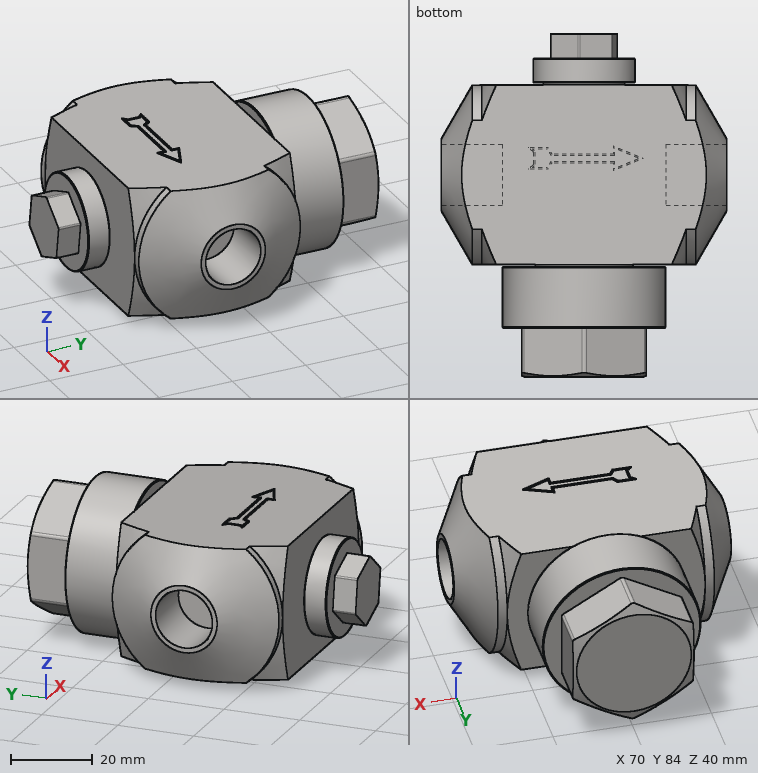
import cadquery as cq
import math

body_length = 70.0
body_width = 44.0
body_height = 35.0
port_face_diameter = 17.5
port_cone_angle = 30.0
shoulder_diameter = 44.0
shoulder_inner_x = 25.0
back_cone_angle = 30.0
port_bore_diameter = 15.0
port_bore_depth = 15.0
profile_margin = 1.0

hex_half_angle = 30.0

neck_gap = 0.5
edge_chamfer = 0.25

cap_neck_diameter = 24.0
cap_diameter = 40.0
cap_thickness = 15.0
cap_hex_flats = 30.5
cap_hex_height = 12.0
cap_hex_corner_radius = 1.0
cap_hex_face_diameter = 29.0
cap_hex_chamfer_angle = 20.0

plug_neck_diameter = 20.0
plug_diameter = 25.0
plug_thickness = 6.0
plug_hex_flats = 15.3
plug_hex_height = 6.0
plug_hex_corner_radius = 0.5
plug_hex_turn = 8.5

arrow_y = -4.1
arrow_tip_x = 14.4
arrow_head_x = 7.1
arrow_head_half_width = 3.0
arrow_shaft_half_width = 1.1
arrow_neck_x = -7.9
arrow_tail_front_x = -8.9
arrow_tail_end_x = -13.6
arrow_tail_half_width = 2.6
arrow_notch_x = -12.4
arrow_notch_half_width = 1.5
arrow_line_width = 0.35
arrow_line_depth = 0.2


def disc(diameter, start_y, end_y):
    """Cylinder along the Y axis between two Y positions."""
    length = end_y - start_y
    return cq.Workplane("XZ", origin=(0, end_y, 0)).circle(diameter / 2).extrude(length)


def hexagon(flats, corner_radius, turn, start_y, end_y):
    """Hexagonal prism along Y with rounded corners, one corner at +Z before the turn."""
    across_corners = flats / math.cos(math.radians(hex_half_angle))
    prism = (
        cq.Workplane("XZ", origin=(0, end_y, 0))
        .polygon(6, across_corners)
        .extrude(end_y - start_y)
        .edges("|Y")
        .fillet(corner_radius)
    )
    return prism.rotate((0, 0, 0), (0, 1, 0), hex_half_angle + turn)


def make_body():
    face_radius = port_face_diameter / 2
    shoulder_radius = shoulder_diameter / 2
    end_x = body_length / 2
    cone_run = (shoulder_radius - face_radius) * math.tan(math.radians(port_cone_angle))
    shoulder_outer_x = end_x - cone_run
    corner_radius = math.hypot(body_width, body_height) / 2 + profile_margin
    back_run = (corner_radius - shoulder_radius) * math.tan(math.radians(back_cone_angle))
    back_x = shoulder_inner_x - back_run
    right_side = [
        (back_x, corner_radius),
        (shoulder_inner_x, shoulder_radius),
        (shoulder_outer_x, shoulder_radius),
        (end_x, face_radius),
        (end_x, 0),
    ]
    left_side = [(-x, radius) for x, radius in reversed(right_side)]
    turned = (
        cq.Workplane("XY")
        .polyline(left_side + right_side)
        .close()
        .revolve(360, (0, 0, 0), (1, 0, 0))
    )
    block = cq.Workplane("XY").box(body_length, body_width, body_height)
    return block.intersect(turned)


def cut_port_bores(body):
    for direction in (1, -1):
        plane = cq.Plane(
            origin=(direction * body_length / 2, 0, 0),
            xDir=(0, 1, 0),
            normal=(-direction, 0, 0),
        )
        body = body.cut(cq.Workplane(plane).circle(port_bore_diameter / 2).extrude(port_bore_depth))
    return body


def make_cap():
    body_y = body_width / 2
    cap_y = body_y + neck_gap
    hex_y = cap_y + cap_thickness
    end_y = hex_y + cap_hex_height
    neck = disc(cap_neck_diameter, body_y, cap_y)
    collar = disc(cap_diameter, cap_y, hex_y).edges().chamfer(edge_chamfer)
    face_radius = cap_hex_face_diameter / 2
    chamfer_radius = cap_diameter / 2
    chamfer_drop = (chamfer_radius - face_radius) * math.tan(math.radians(cap_hex_chamfer_angle))
    chamfer_envelope = (
        cq.Workplane("XY")
        .polyline([
            (0, hex_y),
            (chamfer_radius, hex_y),
            (chamfer_radius, end_y - chamfer_drop),
            (face_radius, end_y),
            (0, end_y),
        ])
        .close()
        .revolve(360, (0, 0, 0), (0, 1, 0))
    )
    head = hexagon(cap_hex_flats, cap_hex_corner_radius, 0, hex_y, end_y)
    return neck.union(collar).union(head.intersect(chamfer_envelope))


def make_plug():
    body_y = -body_width / 2
    plug_y = body_y - neck_gap
    hex_y = plug_y - plug_thickness
    end_y = hex_y - plug_hex_height
    neck = disc(plug_neck_diameter, plug_y, body_y)
    collar = disc(plug_diameter, hex_y, plug_y).edges().chamfer(edge_chamfer)
    head = hexagon(plug_hex_flats, plug_hex_corner_radius, plug_hex_turn, end_y, hex_y)
    return neck.union(collar).union(head)


def make_flow_arrow():
    upper_side = [
        (arrow_notch_x, arrow_notch_half_width),
        (arrow_tail_end_x, arrow_tail_half_width),
        (arrow_tail_front_x, arrow_tail_half_width),
        (arrow_neck_x, arrow_shaft_half_width),
        (arrow_head_x, arrow_shaft_half_width),
        (arrow_head_x, arrow_head_half_width),
    ]
    lower_side = [(x, -y) for x, y in reversed(upper_side)]
    outline = upper_side + [(arrow_tip_x, 0)] + lower_side
    floor_z = body_height / 2 - arrow_line_depth
    floor = cq.Workplane("XY", origin=(0, arrow_y, floor_z))
    outer = floor.polyline(outline).close().extrude(arrow_line_depth)
    inner = (
        floor.polyline(outline)
        .close()
        .offset2D(-arrow_line_width, "intersection")
        .extrude(arrow_line_depth)
    )
    return outer.cut(inner)


body = cut_port_bores(make_body())
result = body.union(make_cap()).union(make_plug()).cut(make_flow_arrow())